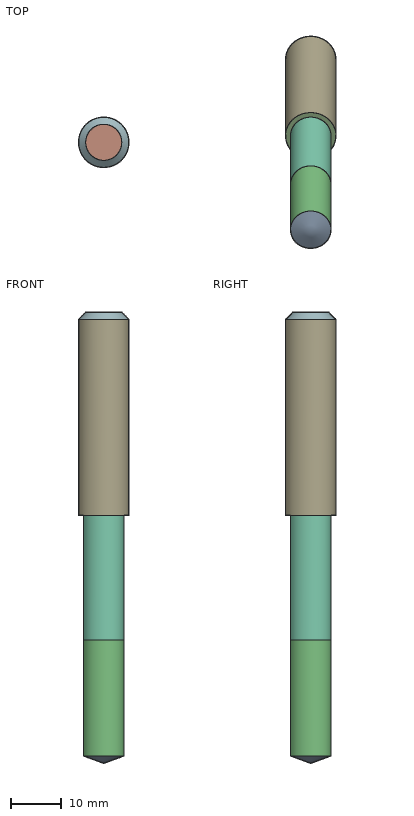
import cadquery as cq
import math

TOTAL_LENGTH = 89.0
SHANK_DIAMETER = 10.0
SHANK_LENGTH = 40.05
SHANK_CHAMFER = 1.4
DRILL_DIAMETER = 8.0
CUTTING_LENGTH = 24.3
POINT_ANGLE = 140.0

drill_radius = DRILL_DIAMETER / 2
point_height = drill_radius / math.tan(math.radians(POINT_ANGLE / 2))
tip_z = -TOTAL_LENGTH / 2
joint_z = tip_z + CUTTING_LENGTH
shank_bottom_z = TOTAL_LENGTH / 2 - SHANK_LENGTH


def make_holder():
    """Chamfered shank with the slimmer neck below it."""
    shank = (
        cq.Workplane("XY", origin=(0, 0, shank_bottom_z))
        .circle(SHANK_DIAMETER / 2)
        .extrude(SHANK_LENGTH)
        .faces(">Z")
        .chamfer(SHANK_CHAMFER)
    )
    neck = (
        cq.Workplane("XY", origin=(0, 0, joint_z))
        .circle(drill_radius)
        .extrude(shank_bottom_z - joint_z)
    )
    return shank.union(neck)


def make_cutting_part():
    """Cylinder with a conical point, revolved about Z."""
    return (
        cq.Workplane("XZ")
        .moveTo(0, tip_z)
        .lineTo(drill_radius, tip_z + point_height)
        .lineTo(drill_radius, joint_z)
        .lineTo(0, joint_z)
        .close()
        .revolve(360, (0, 0), (0, 1))
    )


holder = make_holder()
cutting_part = make_cutting_part()
result = cq.Compound.makeCompound([holder.val(), cutting_part.val()])